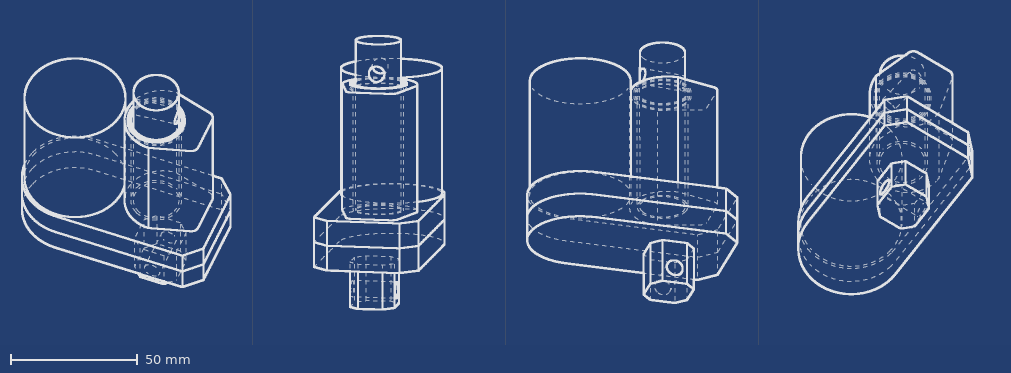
import cadquery as cq
import math


plate_width = 42.0
plate_length = 81.2
plate_thickness = 10.0
corner_chamfer = 6.4
end_radius = plate_width / 2
plate_right = plate_length - end_radius
gearbox_top = 2 * plate_thickness

motor_diameter = 39.9
motor_top = 70.4

housing_x = 36.3
housing_y = 2.0
housing_radius = 15.0
housing_right = 54.5
flank_angle = 16.0
housing_corner_radius = 3.0
housing_top = 70.7

rod_x = 34.0
rod_y = 1.2
rod_diameter = 18.0
rod_top = 88.1
rod_hole_diameter = 6.2
rod_hole_z = 76.1
rod_turn = 5.7
bore_diameter = 20.0
sleeve_outer_diameter = 21.3
groove_outer_diameter = 22.6
groove_depth = 2.0

lug_x = 36.2
lug_width = 17.8
lug_chamfer = 3.9
lug_length = 18.1
lug_end_rise = 0.2
lug_hole_z = -11.6
lug_hole_diameter = 6.5


def make_plate(bottom):
    """Gearbox plate, round at the motor end and chamfered at the other."""
    return (
        cq.Workplane("XY", origin=(0, 0, bottom))
        .moveTo(0, -end_radius)
        .lineTo(plate_right - corner_chamfer, -end_radius)
        .lineTo(plate_right, -end_radius + corner_chamfer)
        .lineTo(plate_right, end_radius - corner_chamfer)
        .lineTo(plate_right - corner_chamfer, end_radius)
        .lineTo(0, end_radius)
        .threePointArc((-end_radius, 0), (0, -end_radius))
        .close()
        .extrude(plate_thickness)
    )


def make_lug():
    """Square lug with chamfered edges, a slanted end and a pin hole along Y."""
    half_width = lug_width / 2
    lug = (
        cq.Workplane("YZ", origin=(lug_x - half_width, 0, 0))
        .moveTo(-half_width, 0)
        .lineTo(-half_width, -lug_length)
        .lineTo(half_width, -lug_length + lug_end_rise)
        .lineTo(half_width, 0)
        .close()
        .extrude(lug_width)
        .edges("|Z")
        .chamfer(lug_chamfer)
    )
    pin_hole = (
        cq.Workplane("XZ", origin=(lug_x, 0, lug_hole_z))
        .circle(lug_hole_diameter / 2)
        .extrude(lug_width, both=True)
    )
    return lug.cut(pin_hole)


def make_lower_gearbox():
    return make_plate(0).union(make_lug())


def make_rod_housing():
    """Rod housing with a blind bore and a ring groove that leaves a thin sleeve."""
    flank_run = housing_right - housing_x
    flat_half_height = housing_radius - flank_run * math.tan(math.radians(flank_angle))
    housing = (
        cq.Workplane("XY", origin=(housing_x, housing_y, gearbox_top))
        .moveTo(0, -housing_radius)
        .lineTo(flank_run, -flat_half_height)
        .lineTo(flank_run, flat_half_height)
        .lineTo(0, housing_radius)
        .threePointArc((-housing_radius, 0), (0, -housing_radius))
        .close()
        .extrude(housing_top - gearbox_top)
        .edges("|Z and >X")
        .fillet(housing_corner_radius)
    )
    bore = (
        cq.Workplane("XY", origin=(rod_x, rod_y, gearbox_top))
        .circle(bore_diameter / 2)
        .extrude(housing_top - gearbox_top)
    )
    groove = (
        cq.Workplane("XY", origin=(rod_x, rod_y, housing_top - groove_depth))
        .circle(groove_outer_diameter / 2)
        .circle(sleeve_outer_diameter / 2)
        .extrude(groove_depth)
    )
    return housing.cut(bore).cut(groove)


def make_upper_gearbox():
    return make_plate(plate_thickness).union(make_rod_housing())


def make_motor():
    return (
        cq.Workplane("XY", origin=(0, 0, gearbox_top))
        .circle(motor_diameter / 2)
        .extrude(motor_top - gearbox_top)
    )


def make_rod():
    """Round rod standing on the bore floor, its cross hole turned slightly from X."""
    rod = cq.Workplane("XY").circle(rod_diameter / 2).extrude(rod_top - gearbox_top)
    cross_hole = (
        cq.Workplane("YZ", origin=(0, 0, rod_hole_z - gearbox_top))
        .circle(rod_hole_diameter / 2)
        .extrude(rod_diameter, both=True)
    )
    return (
        rod.cut(cross_hole)
        .rotate((0, 0, 0), (0, 0, 1), rod_turn)
        .translate((rod_x, rod_y, gearbox_top))
    )


lower_gearbox = make_lower_gearbox()
upper_gearbox = make_upper_gearbox()
motor = make_motor()
rod = make_rod()

result = cq.Compound.makeCompound(
    [lower_gearbox.val(), upper_gearbox.val(), motor.val(), rod.val()]
)